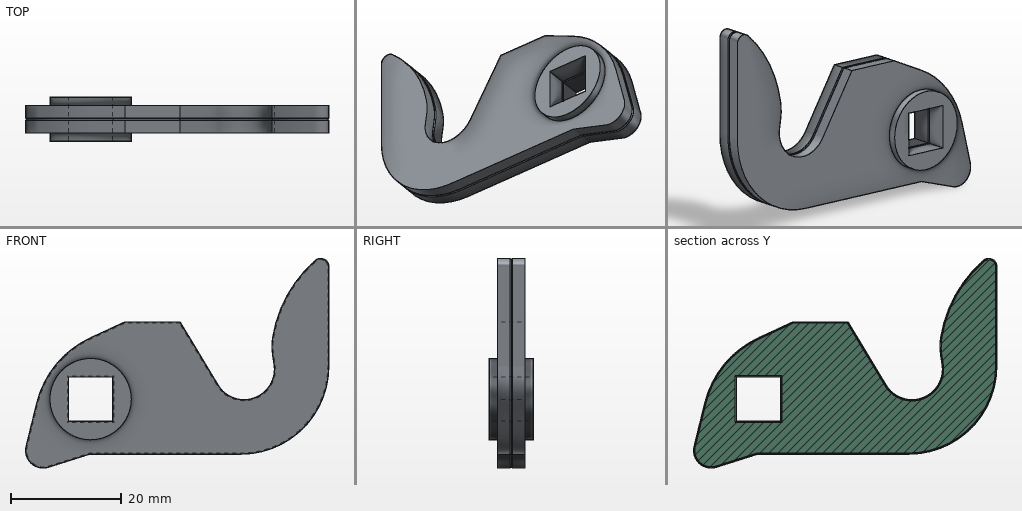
import cadquery as cq
import math


overall_width = 8.0
plate_thickness = 5.0
leaf_thickness = plate_thickness / 2

seam_bevel = 0.2

hub_diameter = 14.75
drive_hole_side = 8.0

overall_length = 55.0
overall_height = 38.0
left_x = -11.8
right_x = left_x + overall_length
low_z = -12.5
top_z = low_z + overall_height
bottom_edge_z = -10.0
top_edge_z = 14.0
top_edge_left_x = 6.2
top_edge_length = 10.0
heel_x = -0.2

tail_radius = 3.2
shoulder_radius = 17.7
notch_radius = 5.5
neck_radius = 10.0
hook_back_radius = 23.5
tip_radius = 1.5
bend_radius = 16.0

tail_centre = (left_x + tail_radius, low_z + tail_radius)
shoulder_centre = (7.4, -4.95)
top_left_corner = (top_edge_left_x, top_edge_z)
top_right_corner = (top_edge_left_x + top_edge_length, top_edge_z)
notch_centre = (27.8, 5.4)
neck_centre = (42.85, 9.55)
tip_centre = (right_x - tip_radius, top_z - tip_radius)
bend_centre = (right_x - bend_radius, bottom_edge_z + bend_radius)
heel_corner = (heel_x, bottom_edge_z)


def polar(centre, radius, degrees):
    """Point at a distance and direction from a centre."""
    angle = math.radians(degrees)
    return (centre[0] + radius * math.cos(angle), centre[1] + radius * math.sin(angle))


def direction(start, end):
    """Heading in degrees from one point to another."""
    return math.degrees(math.atan2(end[1] - start[1], end[0] - start[0]))


def tangent_line(start_centre, start_radius, end_centre, end_radius):
    """Ends of the line touching two circles on the left of the direction of travel.

    A negative radius touches the right side instead, and a zero radius is a sharp corner.
    """
    span = math.dist(start_centre, end_centre)
    lean = math.degrees(math.acos((start_radius - end_radius) / span))
    normal = direction(start_centre, end_centre) + lean
    return polar(start_centre, start_radius, normal), polar(end_centre, end_radius, normal)


def enclosing_centre(lower_centre, lower_radius, upper_centre, upper_radius, radius):
    """Centre of a larger circle that holds and touches two circles, right of the line between them."""
    span = math.dist(lower_centre, upper_centre)
    reach_lower = radius - lower_radius
    reach_upper = radius - upper_radius
    cosine = (reach_lower**2 + span**2 - reach_upper**2) / (2 * reach_lower * span)
    heading = direction(lower_centre, upper_centre) - math.degrees(math.acos(cosine))
    return polar(lower_centre, reach_lower, heading)


def arc_middle(centre, radius, start, end):
    """Middle of the arc, shorter than half a turn, between two points of a circle."""
    chord_middle = ((start[0] + end[0]) / 2, (start[1] + end[1]) / 2)
    return polar(centre, radius, direction(centre, chord_middle))


def make_outline():
    """Closed outline of the lever, traced clockwise from the tail."""
    tail_end, shoulder_start = tangent_line(tail_centre, tail_radius, shoulder_centre, shoulder_radius)
    shoulder_end, _ = tangent_line(shoulder_centre, shoulder_radius, top_left_corner, 0)
    _, notch_start = tangent_line(top_right_corner, 0, notch_centre, -notch_radius)
    notch_end, neck_start = tangent_line(notch_centre, -notch_radius, neck_centre, neck_radius)
    back_centre = enclosing_centre(neck_centre, neck_radius, tip_centre, tip_radius, hook_back_radius)
    neck_end = polar(back_centre, hook_back_radius, direction(back_centre, neck_centre))
    tip_start = polar(back_centre, hook_back_radius, direction(back_centre, tip_centre))
    tip_end, bend_start = tangent_line(tip_centre, tip_radius, bend_centre, bend_radius)
    bend_end, _ = tangent_line(bend_centre, bend_radius, heel_corner, 0)
    _, tail_start = tangent_line(heel_corner, 0, tail_centre, tail_radius)
    notch_bottom = (notch_centre[0], notch_centre[1] - notch_radius)

    shoulder_middle = arc_middle(shoulder_centre, shoulder_radius, shoulder_start, shoulder_end)
    neck_middle = arc_middle(neck_centre, neck_radius, neck_start, neck_end)
    back_middle = arc_middle(back_centre, hook_back_radius, neck_end, tip_start)
    tip_middle = arc_middle(tip_centre, tip_radius, tip_start, tip_end)
    bend_middle = arc_middle(bend_centre, bend_radius, bend_start, bend_end)
    tail_middle = arc_middle(tail_centre, tail_radius, tail_start, tail_end)

    return (
        cq.Workplane("XZ")
        .moveTo(*tail_end)
        .lineTo(*shoulder_start)
        .threePointArc(shoulder_middle, shoulder_end)
        .lineTo(*top_left_corner)
        .lineTo(*top_right_corner)
        .lineTo(*notch_start)
        .threePointArc(notch_bottom, notch_end)
        .lineTo(*neck_start)
        .threePointArc(neck_middle, neck_end)
        .threePointArc(back_middle, tip_start)
        .threePointArc(tip_middle, tip_end)
        .lineTo(*bend_start)
        .threePointArc(bend_middle, bend_end)
        .lineTo(*heel_corner)
        .lineTo(*tail_start)
        .threePointArc(tail_middle, tail_end)
        .close()
    )


def make_front_leaf():
    """Half of the part on the -Y side, bevelled around its mating face at Y = 0."""
    leaf = make_outline().extrude(leaf_thickness)
    hub = cq.Workplane("XZ").circle(hub_diameter / 2).extrude(overall_width / 2)
    drive_hole = cq.Workplane("XZ").rect(drive_hole_side, drive_hole_side).extrude(overall_width / 2)
    return leaf.union(hub).cut(drive_hole).faces(">Y").edges().chamfer(seam_bevel)


front_leaf = make_front_leaf()
result = front_leaf.union(front_leaf.mirror("XZ"))